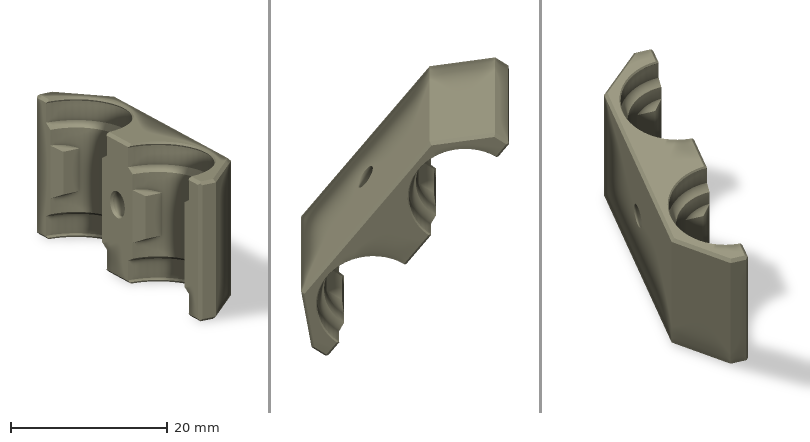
import cadquery as cq
import math

length = 40.0
height = 19.0
axis_to_back = 8.5
parting_gap = 0.05
thickness = axis_to_back - parting_gap
shoulder = 6.0
edge_chamfer = 0.4

cradle_spacing = 20.0
seat_radius = 7.4
bore_radius = 6.3
seat_depth = 3.13
lip_radius = 7.2
mouth_radius = 7.35
lip_depth = 0.25
ramp_angle = math.radians(30)

rib_face_offset = 5.1
rib_half_height = 2.9
rib_depth = 4.5

hole_diameter = 3.2
hole_z = 0.5
hole_chamfer_width = 0.2
hole_chamfer_depth = 0.35


def make_block():
    """Bevelled bar with chamfered ends and chamfered outer parting edges."""
    half_length = length / 2
    outline = [
        (-half_length, 0),
        (half_length, 0),
        (half_length, thickness - shoulder),
        (half_length - shoulder, thickness),
        (-half_length + shoulder, thickness),
        (-half_length, thickness - shoulder),
    ]
    block = cq.Workplane("XY").polyline(outline).close().extrude(height / 2, both=True)
    trimmed = block.faces("<Y").edges("|Z").chamfer(edge_chamfer)
    return block.faces("<Z or >Z").chamfer(edge_chamfer).intersect(trimmed)


def make_cradle_cutter():
    """Turned body that clears one cradle, on the Z axis and mirrored about z = 0."""
    top = height / 2
    seat_end = top - seat_depth
    cone_end = seat_end - (seat_radius - bore_radius) * math.tan(ramp_angle)
    upper_profile = [
        (bore_radius, cone_end),
        (seat_radius, seat_end),
        (seat_radius, top - 2 * lip_depth),
        (lip_radius, top - lip_depth),
        (mouth_radius, top),
    ]
    lower_profile = [(r, -z) for r, z in reversed(upper_profile)]
    profile = [(0, -top)] + lower_profile + upper_profile + [(0, top)]
    return cq.Workplane("XZ").polyline(profile).close().revolve(360, (0, 0), (0, 1))


def make_rib(side):
    """Rib on one side (+1 or -1) of a cradle on the Z axis."""
    root = (bore_radius + seat_radius) / 2
    root_half_height = rib_half_height + (root - rib_face_offset) * math.tan(ramp_angle)
    elevation = [
        (side * rib_face_offset, -rib_half_height),
        (side * rib_face_offset, rib_half_height),
        (side * root, root_half_height),
        (side * root, -root_half_height),
    ]
    rib = cq.Workplane("XZ").polyline(elevation).close().extrude(-rib_depth)
    wall_offset = math.sqrt(bore_radius ** 2 - parting_gap ** 2)
    corner = [
        (side * rib_face_offset, 0),
        (side * wall_offset, 0),
        (side * rib_face_offset, wall_offset - rib_face_offset),
    ]
    lead_in = cq.Workplane("XY").polyline(corner).close().extrude(height / 2, both=True)
    limit = cq.Workplane("XY").center(0, -parting_gap).circle(root).extrude(height / 2, both=True)
    return rib.cut(lead_in).intersect(limit)


def make_screw_hole():
    """Through hole along Y with a small chamfer at the parting face."""
    hole_radius = hole_diameter / 2
    profile = [
        (0, 0),
        (hole_radius + hole_chamfer_width, 0),
        (hole_radius, hole_chamfer_depth),
        (hole_radius, thickness),
        (0, thickness),
    ]
    hole = cq.Workplane("XY").polyline(profile).close().revolve(360, (0, 0), (0, 1))
    return hole.translate((0, 0, hole_z))


result = make_block()
for cradle_x in (-cradle_spacing / 2, cradle_spacing / 2):
    result = result.cut(make_cradle_cutter().translate((cradle_x, -parting_gap, 0)))
    for rib_side in (-1, 1):
        result = result.union(make_rib(rib_side).translate((cradle_x, 0, 0)))
result = result.cut(make_screw_hole())